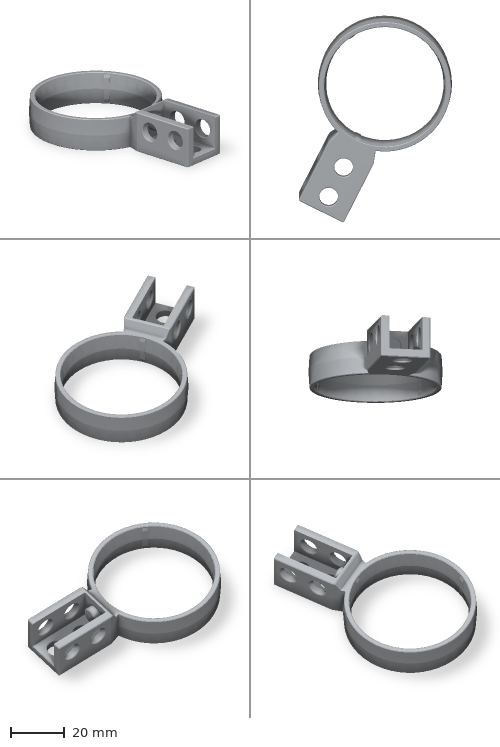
import cadquery as cq

RING_HEIGHT = 12.5
RING_OUTER_RADIUS = 25
RING_OUTER_DRAFT = 0.4
RING_INNER_RADIUS = 21.9
RING_INNER_DRAFT = 0.85
RIM_CHAMFER = 0.2

RIB_COUNT = 3
RIB_WIDTH = 2.2
RIB_MIDDLE_RADIUS = RING_INNER_RADIUS - 0.1
RIB_RIM_RADIUS = 22.1
RIB_END_GAP = 0.5
RIB_END_RISE = 1.5
RIB_ROOT_RADIUS = 23.4

BEAM_SIZE = 12.5
WALL = 3.1
FORK_START = RING_OUTER_RADIUS + WALL
FORK_LENGTH = 2 * BEAM_SIZE
FORK_END = FORK_START + FORK_LENGTH
FORK_WIDTH = BEAM_SIZE + 2 * WALL
FORK_HEIGHT = BEAM_SIZE + WALL
FORK_CHAMFER = 0.3
BEAM_AXIS_Z = WALL + BEAM_SIZE / 2

HOLES_PER_WALL = 2
HOLE_DIAMETER = 7
HOLE_CHAMFER = 0.2
HOLE_POSITIONS = [FORK_START + BEAM_SIZE * (i + 0.5) for i in range(HOLES_PER_WALL)]

PEG_DIAMETER = 6.6
PEG_LENGTH = 2.8
PEG_CHAMFER = 0.5

NECK_START = 22.65
NECK_START_WIDTH = 15.3
SLOPE_FOOT_X = RING_OUTER_RADIUS
SLOPE_TOP_X = 27.2


def double_cone(middle_radius, rim_radius):
    """Solid of ring height whose radius changes linearly from the middle plane to both rims."""
    return (
        cq.Workplane("XZ")
        .polyline([
            (0, 0),
            (rim_radius, 0),
            (middle_radius, RING_HEIGHT / 2),
            (rim_radius, RING_HEIGHT),
            (0, RING_HEIGHT),
        ])
        .close()
        .revolve(360, (0, 0, 0), (0, 1, 0))
    )


def ring_body():
    """Ring without its bore, with both outer rims broken."""
    body = double_cone(RING_OUTER_RADIUS, RING_OUTER_RADIUS - RING_OUTER_DRAFT)
    return body.faces("<Z or >Z").chamfer(RIM_CHAMFER)


def bore():
    """Tool for the bore, flared at both rims to break the inner edges."""
    rim_radius = RING_INNER_RADIUS + RING_INNER_DRAFT
    tool = double_cone(RING_INNER_RADIUS, rim_radius)
    flare = cq.Solid.makeCone(rim_radius + RIM_CHAMFER, rim_radius, RIM_CHAMFER)
    bottom_flare = cq.Workplane(flare)
    top_flare = bottom_flare.mirror("XY").translate((0, 0, RING_HEIGHT))
    return tool.union(bottom_flare).union(top_flare)


def ribs():
    """Upright ribs with sloped ends, spread evenly around the bore."""
    end_radius = RING_INNER_RADIUS + RING_INNER_DRAFT
    low = RIB_END_GAP
    high = RING_HEIGHT - RIB_END_GAP
    rib = (
        cq.Workplane("XZ")
        .polyline([
            (RIB_ROOT_RADIUS, low),
            (end_radius, low),
            (RIB_RIM_RADIUS, low + RIB_END_RISE),
            (RIB_MIDDLE_RADIUS, RING_HEIGHT / 2),
            (RIB_RIM_RADIUS, high - RIB_END_RISE),
            (end_radius, high),
            (RIB_ROOT_RADIUS, high),
        ])
        .close()
        .extrude(RIB_WIDTH / 2, both=True)
    )
    group = cq.Workplane()
    for i in range(RIB_COUNT):
        group = group.add(rib.rotate((0, 0, 0), (0, 0, 1), i * 360 / RIB_COUNT))
    return group.combine()


def beam_channel():
    """Tool for the square channel, open at the top and at the far end of the fork."""
    return (
        cq.Workplane("XY", origin=(FORK_START, 0, WALL))
        .box(FORK_LENGTH, BEAM_SIZE, BEAM_SIZE, centered=(False, True, False))
    )


def arm():
    """Neck and fork: tapered plan outline trimmed by the sloped side profile, then channelled."""
    plan = (
        cq.Workplane("XY")
        .polyline([
            (NECK_START, -NECK_START_WIDTH / 2),
            (FORK_START, -FORK_WIDTH / 2),
            (FORK_END, -FORK_WIDTH / 2),
            (FORK_END, FORK_WIDTH / 2),
            (FORK_START, FORK_WIDTH / 2),
            (NECK_START, NECK_START_WIDTH / 2),
        ])
        .close()
        .extrude(FORK_HEIGHT)
    )
    profile = (
        cq.Workplane("XZ")
        .polyline([
            (0, 0),
            (FORK_END, 0),
            (FORK_END, FORK_HEIGHT),
            (SLOPE_TOP_X, FORK_HEIGHT),
            (SLOPE_FOOT_X, RING_HEIGHT),
            (0, RING_HEIGHT),
        ])
        .close()
        .extrude(FORK_WIDTH / 2, both=True)
    )
    block = plan.intersect(profile)
    block = block.faces(">X or >Z or <Z").chamfer(FORK_CHAMFER)
    block = block.cut(beam_channel())
    floor_end = cq.NearestToPointSelector((FORK_END, 0, WALL))
    return block.edges(floor_end).chamfer(FORK_CHAMFER)


def wall_hole():
    """Tool for a hole up through one wall standing on the origin, with both edges broken."""
    radius = HOLE_DIAMETER / 2
    mouth_radius = radius + HOLE_CHAMFER
    return (
        cq.Workplane("XZ")
        .polyline([
            (0, 0),
            (mouth_radius, 0),
            (radius, HOLE_CHAMFER),
            (radius, WALL - HOLE_CHAMFER),
            (mouth_radius, WALL),
            (0, WALL),
        ])
        .close()
        .revolve(360, (0, 0, 0), (0, 1, 0))
    )


def peg():
    """Locating peg on the end wall of the channel, on the beam axis."""
    return (
        cq.Workplane("YZ", origin=(FORK_START, 0, BEAM_AXIS_Z))
        .circle(PEG_DIAMETER / 2)
        .extrude(PEG_LENGTH)
        .faces(">X")
        .chamfer(PEG_CHAMFER)
    )


result = ring_body().union(arm()).cut(bore()).union(ribs()).union(peg())

floor_hole = wall_hole()
side_hole = floor_hole.rotate((0, 0, 0), (1, 0, 0), 90)
for x in HOLE_POSITIONS:
    result = result.cut(floor_hole.translate((x, 0, 0)))
    for outlet_y in (-BEAM_SIZE / 2, FORK_WIDTH / 2):
        result = result.cut(side_hole.translate((x, outlet_y, BEAM_AXIS_Z)))